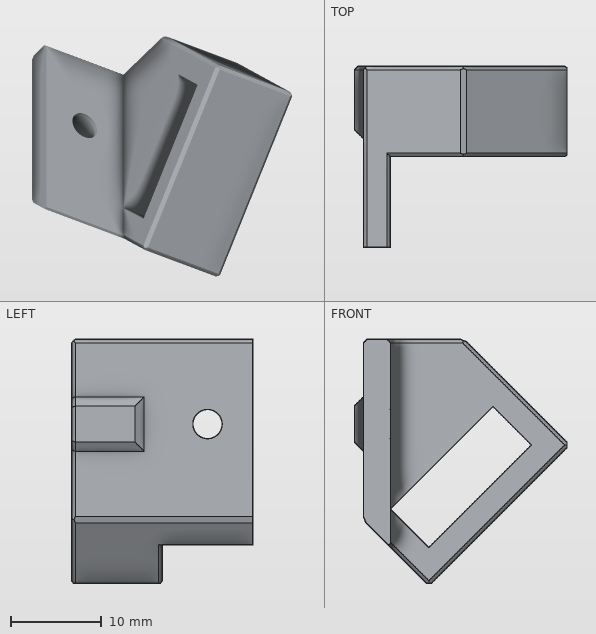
import cadquery as cq
import math

wall_thickness = 3.0
wall_height = 20.0
wall_depth = 20.0
block_depth = 10.0
chamfer_size = 0.4
slot_length = 16.0
slot_width = 6.0
slot_border = 3.0
hole_diameter = 3.2
hole_distance = 15.0
bump_height = 1.0
bump_base_width = 6.0
bump_base_length = 8.0

diagonal = math.sqrt(0.5)
border_reach = slot_border / diagonal

slot_left = (wall_thickness, border_reach - wall_height - wall_thickness)
slot_bottom = (slot_left[0] + slot_width * diagonal, slot_left[1] - slot_width * diagonal)
slot_right = (slot_bottom[0] + slot_length * diagonal, slot_bottom[1] + slot_length * diagonal)
slot_top = (slot_left[0] + slot_length * diagonal, slot_left[1] + slot_length * diagonal)

block_bottom = (slot_bottom[0], slot_bottom[1] - border_reach)
block_right = (slot_right[0] + border_reach, slot_right[1])
block_top_right = (block_right[0] + block_right[1], 0)

feature_z = slot_left[1] / 2


def prism(corners, depth):
    """Extrude an XZ outline from the back toward -Y."""
    return cq.Workplane("XZ").polyline(corners).close().extrude(depth)


def make_block():
    corners = [(0, 0), block_top_right, block_right, block_bottom, (0, -wall_height)]
    return prism(corners, block_depth)


def make_wall():
    inner_bottom = (wall_thickness, -wall_height - wall_thickness)
    corners = [(0, 0), (wall_thickness, 0), inner_bottom, (0, -wall_height)]
    return prism(corners, wall_depth)


def make_bump():
    """Raised pad with sloped top, bottom and front sides, flush with the back."""
    half_base = bump_base_width / 2
    half_crest = half_base - bump_height
    crest_length = bump_base_length - bump_height
    corners = [
        (0, feature_z + half_base),
        (-bump_height, feature_z + half_crest),
        (-bump_height, feature_z - half_crest),
        (0, feature_z - half_base),
    ]
    plan = [(0, 0), (-bump_height, 0), (-bump_height, -crest_length), (0, -bump_base_length)]
    sloped_front = (
        cq.Workplane("XY")
        .workplane(offset=feature_z - half_base)
        .polyline(plan)
        .close()
        .extrude(bump_base_width)
    )
    return prism(corners, bump_base_length).intersect(sloped_front)


def bevel_corners(body):
    """Bevel the outline corners, which run along Y."""
    return body.edges("|Y").chamfer(chamfer_size)


def bevel_rim(body, face):
    """Bevel all edges around one face."""
    return body.faces(face).edges().chamfer(chamfer_size)


def make_body():
    """Bevel rims and corners apart, each on sharp shapes, and intersect to keep both."""
    block = make_block()
    wall = make_wall()
    bump = make_bump()
    beveled_block = bevel_corners(block).intersect(bevel_rim(block, "<Y"))
    beveled_body = beveled_block.union(bevel_corners(wall)).union(bump)
    sharp_body = block.union(wall).union(bump)
    return beveled_body.intersect(bevel_rim(sharp_body, ">Y"))


def make_slot():
    return prism([slot_left, slot_bottom, slot_right, slot_top], block_depth)


def make_hole():
    return (
        cq.Workplane("YZ")
        .center(-hole_distance, feature_z)
        .circle(hole_diameter / 2)
        .extrude(wall_thickness)
    )


result = make_body().cut(make_slot()).cut(make_hole())